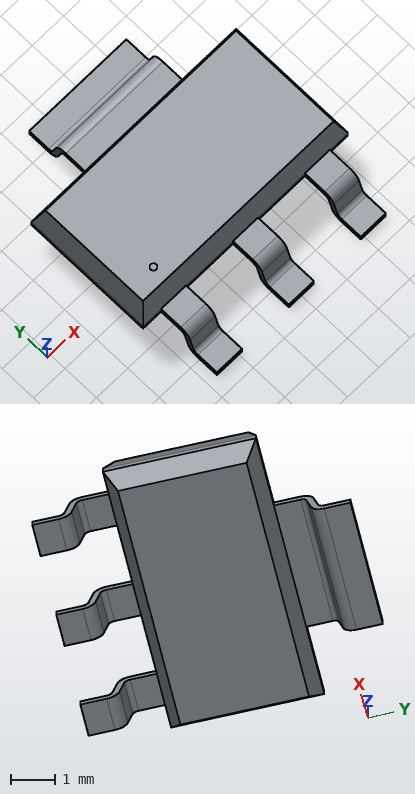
import cadquery as cq
import math

total_span = 7.1
total_height = 1.65
housing_length = 6.55
housing_width = 3.55

strip_thickness = 0.17
shoulder_top = 0.91
foot_length = 0.61
bend_inner_radius = 0.14
bend_outer_radius = bend_inner_radius + strip_thickness
leg_tilt = math.radians(15)
lead_width = 0.8
lead_pitch = 2.3
lead_count = 3
tab_width = 3.11

housing_bottom = strip_thickness
band_bottom = shoulder_top - strip_thickness
top_inset = 0.23
bottom_inset = 0.285

marker_diameter = 0.18
marker_depth = 0.035
marker_x = -lead_pitch
marker_y = -1.135


def housing_taper(band_z, end_z, inset):
    """Rectangular frustum from the full housing outline to the inset one."""
    return (
        cq.Workplane("XY", origin=(0, 0, band_z))
        .rect(housing_length, housing_width)
        .workplane(offset=end_z - band_z)
        .rect(housing_length - 2 * inset, housing_width - 2 * inset)
        .loft(ruled=True)
    )


def make_marker():
    return (
        cq.Workplane("XY", origin=(marker_x, marker_y, total_height - marker_depth))
        .circle(marker_diameter / 2)
        .extrude(marker_depth)
    )


def make_housing():
    """Moulded body with a recess that fits the marker."""
    band = (
        cq.Workplane("XY", origin=(0, 0, band_bottom))
        .rect(housing_length, housing_width)
        .extrude(strip_thickness)
    )
    upper = housing_taper(shoulder_top, total_height, top_inset)
    lower = housing_taper(band_bottom, housing_bottom, bottom_inset)
    return band.union(upper).union(lower).cut(make_marker())


def bend_point(center, radius, angle):
    """Point (y, z) on a bend, with the angle measured from +Y."""
    return (
        center[0] + radius * math.cos(angle),
        center[1] + radius * math.sin(angle),
    )


def make_bent_strip(width, x_center):
    """Gull-wing strip that leaves the +Y housing wall and ends in a flat foot."""
    root_y = housing_width / 2
    tip_y = total_span / 2
    foot_start = tip_y - foot_length

    foot_center = (foot_start, bend_outer_radius)
    shoulder_center_z = shoulder_top - bend_outer_radius
    center_rise = shoulder_center_z - foot_center[1]
    radius_sum = bend_inner_radius + bend_outer_radius
    center_gap = (radius_sum + center_rise * math.sin(leg_tilt)) / math.cos(leg_tilt)
    shoulder_center = (foot_start - center_gap, shoulder_center_z)

    shoulder_end = leg_tilt
    shoulder_middle = (math.pi / 2 + leg_tilt) / 2
    foot_end = shoulder_end + math.pi
    foot_middle = shoulder_middle + math.pi

    return (
        cq.Workplane("YZ", origin=(x_center - width / 2, 0, 0))
        .moveTo(root_y, shoulder_top)
        .lineTo(shoulder_center[0], shoulder_top)
        .threePointArc(
            bend_point(shoulder_center, bend_outer_radius, shoulder_middle),
            bend_point(shoulder_center, bend_outer_radius, shoulder_end),
        )
        .lineTo(*bend_point(foot_center, bend_inner_radius, foot_end))
        .threePointArc(
            bend_point(foot_center, bend_inner_radius, foot_middle),
            (foot_start, strip_thickness),
        )
        .lineTo(tip_y, strip_thickness)
        .lineTo(tip_y, 0)
        .lineTo(foot_start, 0)
        .threePointArc(
            bend_point(foot_center, bend_outer_radius, foot_middle),
            bend_point(foot_center, bend_outer_radius, foot_end),
        )
        .lineTo(*bend_point(shoulder_center, bend_inner_radius, shoulder_end))
        .threePointArc(
            bend_point(shoulder_center, bend_inner_radius, shoulder_middle),
            (shoulder_center[0], band_bottom),
        )
        .lineTo(root_y, band_bottom)
        .close()
        .extrude(width)
    )


def make_tab():
    """Wide strip on the +Y side."""
    return make_bent_strip(tab_width, 0)


def make_lead(x_center):
    """Narrow strip on the -Y side."""
    return make_bent_strip(lead_width, x_center).mirror("XZ")


housing = make_housing()
marker = make_marker()
tab = make_tab()

leads = []
for index in range(lead_count):
    lead_x = (index - (lead_count - 1) / 2) * lead_pitch
    leads.append(make_lead(lead_x).val())

result = cq.Compound.makeCompound([housing.val(), marker.val(), tab.val(), *leads])